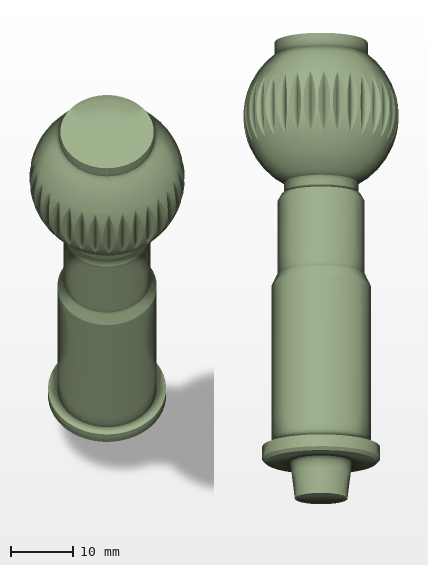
import cadquery as cq
import math

total_height = 75.0

ball_radius = 25.0 / 2
cap_radius = 15.0 / 2
neck_radius = 12.0 / 2
neck_edge_chamfer = 0.45
flute_count = 33
flute_root_radius = 11.5
flute_angle = 90.0
ball_center_depth = 12.1
ball_center_z = total_height - ball_center_depth

barrel_top_z = 49.95
upper_barrel_radius = 14.0 / 2
lead_in_height = 1.05
lead_in_width = 0.6
shoulder_top_z = 37.0
shoulder_height = 2.0
lower_barrel_radius = 16.0 / 2
flange_radius = 19.0 / 2
flange_top_z = 8.5
flange_bottom_z = 6.0
flange_chamfer = 0.5
tip_base_radius = 10.0 / 2
tip_end_radius = 8.5 / 2


def revolve_profile(profile):
    """Close an (r, z) half profile and turn it about the Z axis."""
    return profile.close().revolve(360, (0, 0, 0), (0, 1, 0))


def make_flute_cutter():
    """Vertical V prism on the +X side, with its root edge at the flute root radius."""
    cutter_depth = 2 * (ball_radius - flute_root_radius)
    half_width = cutter_depth * math.tan(math.radians(flute_angle / 2))
    outer_x = flute_root_radius + cutter_depth
    return (
        cq.Workplane("XY", origin=(0, 0, ball_center_z - ball_radius))
        .moveTo(flute_root_radius, 0)
        .lineTo(outer_x, -half_width)
        .lineTo(outer_x, half_width)
        .close()
        .extrude(2 * ball_radius)
    )


def make_knob():
    """Fluted ball knob whose neck rests on top of the plunger body."""
    cap_bottom_z = ball_center_z + math.sqrt(ball_radius**2 - cap_radius**2)
    neck_top_z = ball_center_z - math.sqrt(ball_radius**2 - neck_radius**2)
    profile = (
        cq.Workplane("XZ")
        .moveTo(0, barrel_top_z)
        .lineTo(neck_radius - neck_edge_chamfer, barrel_top_z)
        .lineTo(neck_radius, barrel_top_z + neck_edge_chamfer)
        .lineTo(neck_radius, neck_top_z)
        .threePointArc((ball_radius, ball_center_z), (cap_radius, cap_bottom_z))
        .lineTo(cap_radius, total_height)
        .lineTo(0, total_height)
    )
    knob = revolve_profile(profile)
    cutter = make_flute_cutter()
    for index in range(flute_count):
        knob = knob.cut(cutter.rotate((0, 0, 0), (0, 0, 1), index * 360 / flute_count))
    return knob


def make_plunger_body():
    """Stepped barrel with a flange and a tapered tip below it."""
    profile = (
        cq.Workplane("XZ")
        .moveTo(0, 0)
        .lineTo(tip_end_radius, 0)
        .lineTo(tip_base_radius, flange_bottom_z)
        .lineTo(flange_radius - flange_chamfer, flange_bottom_z)
        .lineTo(flange_radius, flange_bottom_z + flange_chamfer)
        .lineTo(flange_radius, flange_top_z)
        .lineTo(lower_barrel_radius, flange_top_z)
        .lineTo(lower_barrel_radius, shoulder_top_z - shoulder_height)
        .lineTo(upper_barrel_radius, shoulder_top_z)
        .lineTo(upper_barrel_radius, barrel_top_z - lead_in_height)
        .lineTo(upper_barrel_radius - lead_in_width, barrel_top_z)
        .lineTo(0, barrel_top_z)
    )
    return revolve_profile(profile)


knob = make_knob()
plunger_body = make_plunger_body()

result = cq.Compound.makeCompound([knob.val(), plunger_body.val()])